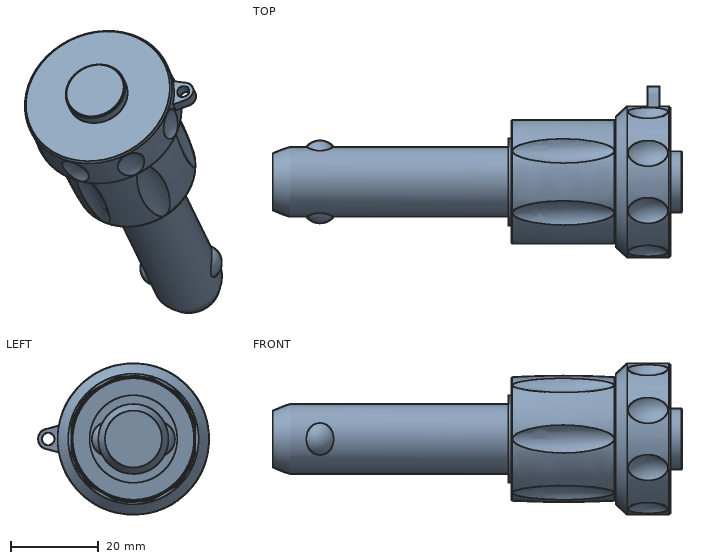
import cadquery as cq
import math


SHANK_RADIUS = 8.0
NOSE_RADIUS = 6.5
NOSE_LENGTH = 4.0
NOSE_BULGE = 0.12

BALL_RADIUS = 4.0
BALL_X = 10.8
BALL_PROTRUSION = 1.5

COLLAR_RADIUS = 10.0
COLLAR_X = 53.8

HANDLE_X = 54.4
HANDLE_END_RADIUS = 14.15
HANDLE_MID_RADIUS = 14.5
HANDLE_CHAMFER = 0.3

KNOB_X = 78.3
KNOB_END_X = 90.8
KNOB_RADIUS = 17.3
KNOB_FRONT_RADIUS = 14.9
KNOB_BEVEL_LENGTH = 2.6
KNOB_CHAMFER = 0.4

OVERALL_LENGTH = 93.5
BUTTON_RADIUS = 7.0
BUTTON_CHAMFER = 0.3

HOLLOW_CUTTER_RADIUS = 4.2
FLUTE_COUNT = 6
FLUTE_LENGTH = 23.2
FLUTE_DEPTH = 1.85
DIMPLE_COUNT = 8
DIMPLE_LENGTH = 9.1
DIMPLE_DEPTH = 1.75

TAB_X = 85.5
TAB_THICKNESS = 2.8
TAB_TIP_Y = 21.79
TAB_TIP_RADIUS = 2.35
TAB_EDGE_SLOPE = math.radians(15)
TAB_ROOT_Y = 16.0
TAB_HOLE_RADIUS = 1.4


def turned(profile):
    """Revolve a profile drawn in the XY plane about the X axis."""
    return profile.close().revolve(360, (0, 0, 0), (1, 0, 0))


def make_shank():
    mid_nose_radius = (NOSE_RADIUS + SHANK_RADIUS) / 2 + NOSE_BULGE
    profile = (
        cq.Workplane("XY")
        .lineTo(0, NOSE_RADIUS)
        .threePointArc((NOSE_LENGTH / 2, mid_nose_radius), (NOSE_LENGTH, SHANK_RADIUS))
        .lineTo(HANDLE_X, SHANK_RADIUS)
        .lineTo(HANDLE_X, 0)
    )
    return turned(profile)


def make_balls():
    offset = SHANK_RADIUS + BALL_PROTRUSION - BALL_RADIUS
    centers = [(BALL_X, -offset), (BALL_X, offset)]
    return cq.Workplane("XY").pushPoints(centers).sphere(BALL_RADIUS)


def make_collar():
    length = HANDLE_X - COLLAR_X
    return cq.Workplane("YZ", origin=(COLLAR_X, 0, 0)).circle(COLLAR_RADIUS).extrude(length)


def make_handle():
    face_radius = HANDLE_END_RADIUS - HANDLE_CHAMFER
    profile = (
        cq.Workplane("XY")
        .moveTo(HANDLE_X, 0)
        .lineTo(HANDLE_X, face_radius)
        .lineTo(HANDLE_X + HANDLE_CHAMFER, HANDLE_END_RADIUS)
        .threePointArc(
            ((HANDLE_X + KNOB_X) / 2, HANDLE_MID_RADIUS),
            (KNOB_X - HANDLE_CHAMFER, HANDLE_END_RADIUS),
        )
        .lineTo(KNOB_X, face_radius)
        .lineTo(KNOB_X, 0)
    )
    return turned(profile)


def make_knob():
    profile = (
        cq.Workplane("XY")
        .moveTo(KNOB_X, 0)
        .lineTo(KNOB_X, KNOB_FRONT_RADIUS)
        .lineTo(KNOB_X + KNOB_BEVEL_LENGTH, KNOB_RADIUS)
        .lineTo(KNOB_END_X - KNOB_CHAMFER, KNOB_RADIUS)
        .lineTo(KNOB_END_X, KNOB_RADIUS - KNOB_CHAMFER)
        .lineTo(KNOB_END_X, 0)
    )
    return turned(profile)


def make_button():
    length = OVERALL_LENGTH - KNOB_END_X
    button = cq.Workplane("YZ", origin=(KNOB_END_X, 0, 0)).circle(BUTTON_RADIUS).extrude(length)
    return button.faces(">X").chamfer(BUTTON_CHAMFER)


def make_hollow_cutter(center_x, length, end_radius, floor_radius):
    """Spindle along X on the +Y side, from end_radius at its ends down to floor_radius midway."""
    axis_y = floor_radius + HOLLOW_CUTTER_RADIUS
    start_x = center_x - length / 2
    end_x = center_x + length / 2
    return (
        cq.Workplane("XY")
        .moveTo(start_x, axis_y)
        .lineTo(start_x, end_radius)
        .threePointArc((center_x, floor_radius), (end_x, end_radius))
        .lineTo(end_x, axis_y)
        .close()
        .revolve(360, (start_x, axis_y, 0), (end_x, axis_y, 0))
    )


def cut_around(body, cutter, count, start_angle):
    """Cut evenly spaced copies of the cutter around the X axis."""
    for i in range(count):
        angle = start_angle + i * 360 / count
        body = body.cut(cutter.rotate((0, 0, 0), (1, 0, 0), angle))
    return body


def make_tab():
    center_y = TAB_TIP_Y - TAB_TIP_RADIUS
    tangent_y = center_y + TAB_TIP_RADIUS * math.sin(TAB_EDGE_SLOPE)
    tangent_z = TAB_TIP_RADIUS * math.cos(TAB_EDGE_SLOPE)
    root_z = tangent_z + (tangent_y - TAB_ROOT_Y) * math.tan(TAB_EDGE_SLOPE)
    plate = (
        cq.Workplane("YZ", origin=(TAB_X, 0, 0))
        .moveTo(TAB_ROOT_Y, -root_z)
        .lineTo(tangent_y, -tangent_z)
        .threePointArc((TAB_TIP_Y, 0), (tangent_y, tangent_z))
        .lineTo(TAB_ROOT_Y, root_z)
        .close()
        .extrude(TAB_THICKNESS)
    )
    hole = (
        cq.Workplane("YZ", origin=(TAB_X, 0, 0))
        .center(center_y, 0)
        .circle(TAB_HOLE_RADIUS)
        .extrude(TAB_THICKNESS)
    )
    return plate.cut(hole)


flute_x = (HANDLE_X + KNOB_X) / 2
flute_cutter = make_hollow_cutter(
    flute_x, FLUTE_LENGTH, HANDLE_END_RADIUS, HANDLE_MID_RADIUS - FLUTE_DEPTH
)
handle = cut_around(make_handle(), flute_cutter, FLUTE_COUNT, 0)

dimple_x = (KNOB_X + KNOB_BEVEL_LENGTH + KNOB_END_X - KNOB_CHAMFER) / 2
dimple_cutter = make_hollow_cutter(dimple_x, DIMPLE_LENGTH, KNOB_RADIUS, KNOB_RADIUS - DIMPLE_DEPTH)
knob = cut_around(make_knob(), dimple_cutter, DIMPLE_COUNT, 180 / DIMPLE_COUNT)

result = (
    make_shank()
    .union(make_balls())
    .union(make_collar())
    .union(handle)
    .union(knob)
    .union(make_button())
    .union(make_tab())
)